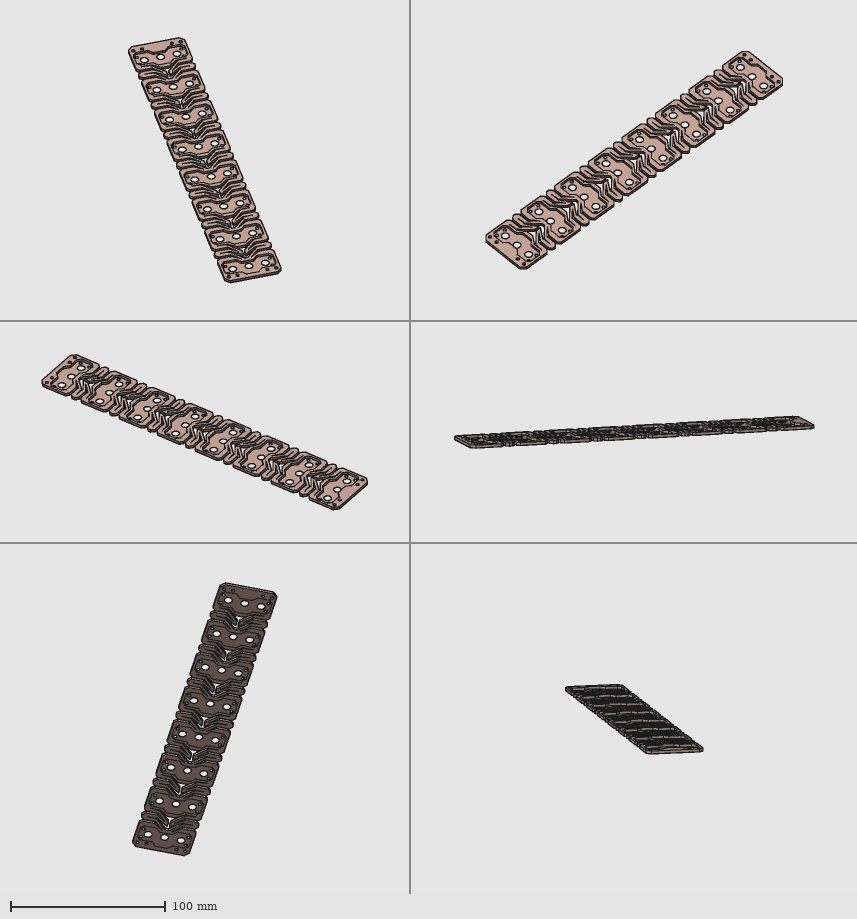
import cadquery as cq

LENGTH = 235.0
WIDTH = 38.0
THICKNESS = 2.0
END_CHAMFER = 3.0
HALF_WIDTH = WIDTH / 2

PANEL_COUNT = 8
PANEL_PITCH = 30.0

POCKET_DEPTH = 1.75
POCKET_HALF_LENGTH = 17.25
POCKET_HALF_WIDTH = 6.2
POCKET_CHAMFER = 2.2
POCKET_JOG = 3.0
JOG_OUTER_Y = 7.0
JOG_INNER_Y = JOG_OUTER_Y - POCKET_JOG

BIG_HOLE_DIAMETER = 5.0
BIG_HOLE_PITCH = 11.0
BIG_HOLE_X = 0.25
SMALL_HOLE_DIAMETER = 2.0
SMALL_HOLE_X = 3.5
SMALL_HOLE_Y = 15.0
END_HOLE_INSET = 3.9
END_HOLE_YS = (10.0, 16.0)

FOLD_COUNT = 2
FOLD_PITCH = 7.5
FIRST_FOLD_X = 7.85
MOUTH_HALF_GAP = 0.75
PANEL_NOSE_X = 12.0
PANEL_NOSE_Y = 2.75
PANEL_BEND_Y = 8.475
NEXT_NOSE_X = 23.85

INNER_TOP_Y = 15.0
INNER_TOP_WIDTH = 0.1
INNER_BEND_WIDTH = 0.5
INNER_LEFT_BEND_Y = 8.475
INNER_RIGHT_BEND_Y = 9.0
STEEP_RUN = 0.67

OUTER_SHIFT = 3.9
OUTER_WIDTH = 1.5
OUTER_TIP_WIDTH = 0.1
OUTER_TIP_Y = 3.4
OUTER_LEFT_BEND_Y = 9.0
OUTER_RIGHT_BEND_Y = 9.265
MOUTH_CHAMFER = 2.0


def prism(points, height=THICKNESS):
    return cq.Workplane("XY").polyline(points).close().extrude(height)


def mirrored_outline(upper):
    """Complete a half outline (y >= 0) with its reflection in the X axis."""
    return upper + [(x, -y) for x, y in reversed(upper)]


def make_blank():
    blank = cq.Workplane("XY").box(LENGTH, WIDTH, THICKNESS, centered=(True, True, False))
    return blank.edges("|Z").chamfer(END_CHAMFER)


def make_pocket():
    chamfer_y = POCKET_HALF_LENGTH - POCKET_CHAMFER
    chamfer_x = POCKET_HALF_WIDTH - POCKET_CHAMFER
    upper = [
        (POCKET_HALF_WIDTH + POCKET_JOG, JOG_INNER_Y),
        (POCKET_HALF_WIDTH, JOG_OUTER_Y),
        (POCKET_HALF_WIDTH, chamfer_y),
        (chamfer_x, POCKET_HALF_LENGTH),
        (-chamfer_x, POCKET_HALF_LENGTH),
        (-POCKET_HALF_WIDTH, chamfer_y),
        (-POCKET_HALF_WIDTH, JOG_OUTER_Y),
        (POCKET_JOG - POCKET_HALF_WIDTH, JOG_INNER_Y),
    ]
    return prism(mirrored_outline(upper), POCKET_DEPTH).translate((0, 0, THICKNESS - POCKET_DEPTH))


def inner_slit(x, left_wall):
    """Inner slit at x, on both sides of the X axis; left_wall runs from the middle to the bend."""
    bend_x = x + INNER_BEND_WIDTH
    right_wall_end = (NEXT_NOSE_X, INNER_RIGHT_BEND_Y - (NEXT_NOSE_X - bend_x))
    if right_wall_end[1] < MOUTH_HALF_GAP:
        right_wall_end = (bend_x + INNER_RIGHT_BEND_Y - MOUTH_HALF_GAP, MOUTH_HALF_GAP)
    upper = left_wall + [
        (x, INNER_TOP_Y),
        (x + INNER_TOP_WIDTH, INNER_TOP_Y),
        (bend_x, INNER_RIGHT_BEND_Y),
        right_wall_end,
    ]
    return prism(mirrored_outline(upper))


def panel_wall(x):
    """Edge of the panel, ending at its flat nose."""
    return [(PANEL_NOSE_X, PANEL_NOSE_Y), (x, PANEL_BEND_Y)]


def arm_wall(x):
    """Edge of a hinge arm, ending at the gap between the arms."""
    run = STEEP_RUN * (INNER_LEFT_BEND_Y - MOUTH_HALF_GAP)
    return [(x + run, MOUTH_HALF_GAP), (x, INNER_LEFT_BEND_Y)]


def outer_slit(x):
    """Outer slit at the +Y edge, centred on x."""
    left_x = x - OUTER_WIDTH / 2
    right_x = x + OUTER_WIDTH / 2
    tip_x = left_x + OUTER_LEFT_BEND_Y - OUTER_TIP_Y
    return prism(
        [
            (left_x - MOUTH_CHAMFER, HALF_WIDTH),
            (left_x, HALF_WIDTH - MOUTH_CHAMFER),
            (left_x, OUTER_LEFT_BEND_Y),
            (tip_x, OUTER_TIP_Y),
            (tip_x + OUTER_TIP_WIDTH, OUTER_TIP_Y),
            (right_x, OUTER_RIGHT_BEND_Y),
            (right_x, HALF_WIDTH - MOUTH_CHAMFER),
            (right_x + MOUTH_CHAMFER, HALF_WIDTH),
        ]
    )


def middle_channel():
    """Gap between the +Y and -Y arms, from one panel's nose to the next."""
    size = (NEXT_NOSE_X - PANEL_NOSE_X, 2 * MOUTH_HALF_GAP, THICKNESS)
    return cq.Workplane("XY").box(*size, centered=(False, True, False)).translate((PANEL_NOSE_X, 0, 0))


def make_hinge():
    """Everything cut away to form the hinge that follows a panel centred at the origin."""
    cut = middle_channel()
    for fold in range(FOLD_COUNT):
        x = FIRST_FOLD_X + FOLD_PITCH * fold
        wall = panel_wall(x) if fold == 0 else arm_wall(x)
        slit = outer_slit(x + OUTER_SHIFT)
        cut = cut.union(inner_slit(x, wall)).union(slit).union(slit.mirror("XZ"))
    return cut


def make_holes(points, diameter):
    return cq.Workplane("XY").pushPoints(points).circle(diameter / 2).extrude(THICKNESS)


def panel_holes():
    rows = (-BIG_HOLE_PITCH, 0, BIG_HOLE_PITCH)
    big = make_holes([(BIG_HOLE_X, y) for y in rows], BIG_HOLE_DIAMETER)
    corners = [(sx * SMALL_HOLE_X, sy * SMALL_HOLE_Y) for sx in (-1, 1) for sy in (-1, 1)]
    return big.union(make_holes(corners, SMALL_HOLE_DIAMETER))


def end_holes():
    end_x = LENGTH / 2 - END_HOLE_INSET
    points = [(sx * end_x, sy * y) for sx in (-1, 1) for sy in (-1, 1) for y in END_HOLE_YS]
    return make_holes(points, SMALL_HOLE_DIAMETER)


panel_centres = [PANEL_PITCH * (i - (PANEL_COUNT - 1) / 2) for i in range(PANEL_COUNT)]
panel_cut = make_pocket().union(panel_holes())
hinge_cut = make_hinge()

result = make_blank().cut(end_holes())
for centre_x in panel_centres:
    result = result.cut(panel_cut.translate((centre_x, 0, 0)))
for centre_x in panel_centres[:-1]:
    result = result.cut(hinge_cut.translate((centre_x, 0, 0)))